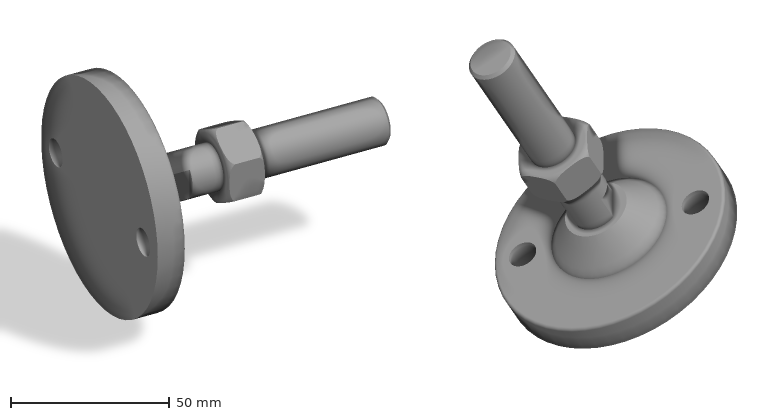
import cadquery as cq
import math

overall_length = 100.0

base_diameter = 80.0
base_thickness = 10.0
base_rim_fillet = 1.0
hole_diameter = 9.5
hole_spacing = 60.0

hub_bottom_diameter = 40.0
hub_top_diameter = 21.4
hub_height = 10.0
hub_top = base_thickness + hub_height

stem_diameter = 16.0
stem_tip_chamfer = 1.0
flats_width = 12.0
flats_length = 9.0

nut_width = 23.8
nut_height = 12.8
nut_start = 40.0
nut_corner_diameter = nut_width / math.cos(math.radians(30))
nut_end_rounding = 2.55


def plane_at(y):
    """XZ plane at height y along the axis, with its normal along +Y."""
    return cq.Workplane(cq.Plane(origin=(0, y, 0), xDir=(1, 0, 0), normal=(0, 1, 0)))


def make_base():
    disc = plane_at(0).circle(base_diameter / 2).extrude(base_thickness)
    disc = disc.faces(">Y").edges().fillet(base_rim_fillet)
    holes = (
        plane_at(0)
        .pushPoints([(-hole_spacing / 2, 0), (hole_spacing / 2, 0)])
        .circle(hole_diameter / 2)
        .extrude(base_thickness)
    )
    return disc.cut(holes)


def make_hub():
    outline = [
        (0, base_thickness),
        (hub_bottom_diameter / 2, base_thickness),
        (hub_top_diameter / 2, hub_top),
        (0, hub_top),
    ]
    return cq.Workplane("ZY").polyline(outline).close().revolve(360, (0, 0, 0), (0, 1, 0))


def make_stem():
    stem = plane_at(hub_top).circle(stem_diameter / 2).extrude(overall_length - hub_top)
    stem = stem.faces(">Y").edges().chamfer(stem_tip_chamfer)
    flatted_zone = plane_at(hub_top).rect(stem_diameter, stem_diameter).extrude(flats_length)
    kept_core = plane_at(hub_top).rect(flats_width, stem_diameter).extrude(flats_length)
    return stem.cut(flatted_zone.cut(kept_core))


def make_nut():
    hexagon = (
        plane_at(nut_start)
        .transformed(rotate=(0, 0, 90))
        .polygon(6, nut_corner_diameter)
        .extrude(nut_height)
    )
    envelope = plane_at(nut_start).circle(nut_corner_diameter / 2).extrude(nut_height)
    envelope = envelope.faces("<Y or >Y").edges().fillet(nut_end_rounding)
    return hexagon.intersect(envelope)


result = make_base().union(make_hub()).union(make_stem()).union(make_nut())